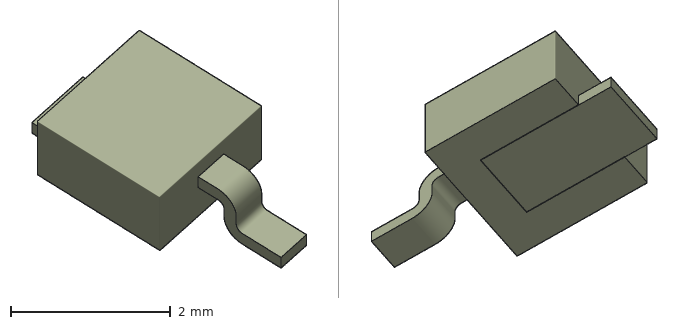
import cadquery as cq

BODY_LENGTH = 2.0
BODY_WIDTH = 2.0
BODY_HEIGHT = 1.0
STANDOFF = 0.01
EDGE_RADIUS = 0.01

METAL_THICKNESS = 0.2

PAD_LENGTH = 2.0
PAD_WIDTH = 1.0
PAD_OVERHANG = 0.5

LEAD_WIDTH = 0.5
LEAD_REACH = 1.35
LEAD_TOP = 0.75
SHOULDER_LENGTH = 0.32
INNER_BEND_RADIUS = 0.1
OUTER_BEND_RADIUS = INNER_BEND_RADIUS + METAL_THICKNESS

BODY_SIDE_X = BODY_LENGTH / 2


def make_body():
    """Rectangular body with its vertical and top edges slightly rounded."""
    return (
        cq.Workplane("XY")
        .workplane(offset=STANDOFF)
        .box(BODY_LENGTH, BODY_WIDTH, BODY_HEIGHT, centered=(True, True, False))
        .edges("|Z or >Z")
        .fillet(EDGE_RADIUS)
    )


def make_pad():
    """Flat pad, partly embedded in the body and resting on Z = 0."""
    return (
        cq.Workplane("XY")
        .box(PAD_LENGTH, PAD_WIDTH, METAL_THICKNESS, centered=(False, True, False))
        .translate((-BODY_SIDE_X - PAD_OVERHANG, 0, 0))
    )


def make_lead():
    """S-bent lead: side profile extruded symmetrically about Y = 0."""
    root_x = BODY_SIDE_X - METAL_THICKNESS
    bend_start_x = BODY_SIDE_X + SHOULDER_LENGTH
    riser_inner_x = bend_start_x + INNER_BEND_RADIUS
    riser_outer_x = bend_start_x + OUTER_BEND_RADIUS
    foot_start_x = riser_outer_x + INNER_BEND_RADIUS
    tip_x = BODY_SIDE_X + LEAD_REACH

    shoulder_bottom = LEAD_TOP - METAL_THICKNESS
    riser_top = LEAD_TOP - OUTER_BEND_RADIUS
    riser_bottom = OUTER_BEND_RADIUS

    profile = (
        cq.Workplane("XZ")
        .moveTo(root_x, LEAD_TOP)
        .lineTo(bend_start_x, LEAD_TOP)
        .radiusArc((riser_outer_x, riser_top), OUTER_BEND_RADIUS)
        .lineTo(riser_outer_x, riser_bottom)
        .radiusArc((foot_start_x, METAL_THICKNESS), -INNER_BEND_RADIUS)
        .lineTo(tip_x, METAL_THICKNESS)
        .lineTo(tip_x, 0)
        .lineTo(foot_start_x, 0)
        .radiusArc((riser_inner_x, riser_bottom), OUTER_BEND_RADIUS)
        .lineTo(riser_inner_x, riser_top)
        .radiusArc((bend_start_x, shoulder_bottom), -INNER_BEND_RADIUS)
        .lineTo(root_x, shoulder_bottom)
        .close()
    )
    return profile.extrude(LEAD_WIDTH / 2, both=True)


result = make_body().union(make_pad()).union(make_lead())